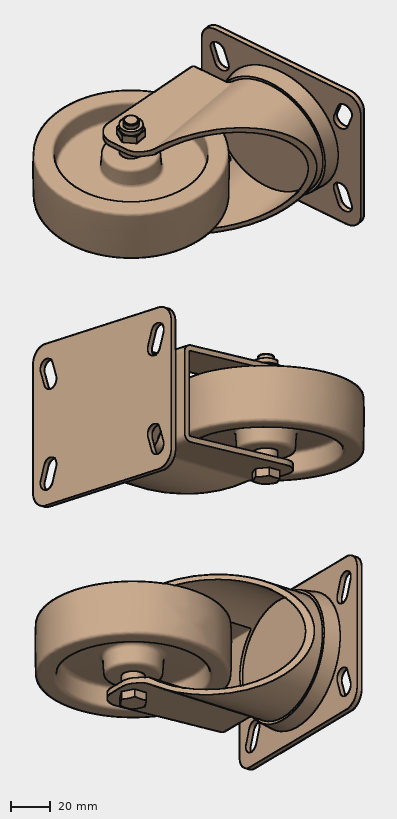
import cadquery as cq
import math


plate_length = 100.0
plate_height = 85.0
plate_thickness = 3.0
plate_corner_radius = 9.0
slot_width = 9.0
slot_inner_x = 37.5
slot_inner_z = 22.5
slot_outer_x = 40.0
slot_outer_z = 30.0

neck_diameter = 40.3
bearing_gap = 0.4
cone_depth = 8.9
cone_back_diameter = 72.5
cone_front_diameter = 69.6
cone_back_y = -(plate_thickness + bearing_gap)
cone_front_y = cone_back_y - cone_depth

axle_x = -37.0
axle_y = -78.0

sheet = 3.0
skirt_sheet = 2.9
fork_width = 50.9
fork_inner_width = fork_width - 2 * sheet
skirt_inner_diameter = 61.0
skirt_radius = skirt_inner_diameter / 2 + skirt_sheet
web_back_y = -13.9
bend_inner_radius = 0.8
bend_outer_radius = bend_inner_radius + sheet
blend_radius = 4.2
fork_back_edge_x = -45.2
fork_bottom_edge_x = -53.0
fork_bottom_y = -88.4
fork_bottom_right_x = -27.5
fork_reach_y = fork_bottom_y - sheet
skirt_short_side_y = -17.3
leg_corner_radius = 10.1

wheel_radius = 49.2
wheel_width = 30.0
tread_edge_radius = 48.7
rim_wall_top_radius = 38.5
rim_wall_base_radius = 37.7
web_thickness_at_hub = 8.0
web_thickness_at_rim = 6.3
hub_top_radius = 14.6
hub_base_radius = 15.4
wheel_fillet = 1.9

spacer_diameter = 12.0
nut_across_flats = 12.5
nut_height = 4.5
hex_bevel_height = 0.3
collar_diameter = 12.0
collar_height = 2.5
pin_diameter = 8.0
pin_height = 3.0
pin_chamfer = 0.5


def make_plate():
    """Plate with four slanted slots, mirrored about both centre lines."""
    plate = (
        cq.Workplane("XZ")
        .rect(plate_length, plate_height)
        .extrude(plate_thickness)
        .edges("|Y")
        .fillet(plate_corner_radius)
    )
    run_x = slot_outer_x - slot_inner_x
    run_z = slot_outer_z - slot_inner_z
    slot_length = math.hypot(run_x, run_z) + slot_width
    slot_angle = math.degrees(math.atan2(run_z, run_x))
    middle_x = (slot_inner_x + slot_outer_x) / 2
    middle_z = (slot_inner_z + slot_outer_z) / 2
    for side_x in (-1, 1):
        for side_z in (-1, 1):
            slot = (
                cq.Workplane("XZ")
                .center(side_x * middle_x, side_z * middle_z)
                .slot2D(slot_length, slot_width, side_x * side_z * slot_angle)
                .extrude(plate_thickness)
            )
            plate = plate.cut(slot)
    return plate


def swivel_cylinder(radius, back_y, front_y):
    return cq.Workplane("XZ", origin=(0, back_y, 0)).circle(radius).extrude(back_y - front_y)


def make_bearing():
    """Narrow neck under the plate, then a conical bearing cup."""
    neck = swivel_cylinder(neck_diameter / 2, -plate_thickness, cone_back_y)
    cone = (
        cq.Workplane("XZ", origin=(0, cone_back_y, 0))
        .circle(cone_back_diameter / 2)
        .workplane(offset=cone_depth)
        .circle(cone_front_diameter / 2)
        .loft()
    )
    return neck.union(cone)


def fork_channel(back_y, width, bend_radius):
    """Block from the fork's open side to the swivel axis, with its back corners rounded."""
    channel_open_x = fork_bottom_edge_x - sheet
    return (
        cq.Workplane("XY", origin=(0, 0, -width / 2))
        .moveTo(channel_open_x, fork_reach_y)
        .lineTo(0, fork_reach_y)
        .lineTo(0, back_y)
        .lineTo(channel_open_x, back_y)
        .close()
        .extrude(width)
        .edges("|X and >Y")
        .fillet(bend_radius)
    )


def make_fork():
    """Hollow channel and skirt, trimmed to the side outline with its slanted lower edge."""
    skirt_back_y = cone_front_y + cone_depth / 2
    outside = (
        fork_channel(web_back_y, fork_width, bend_outer_radius)
        .union(swivel_cylinder(skirt_radius, skirt_back_y, fork_reach_y))
    )
    margin = 0.1
    joint = cq.selectors.BoxSelector(
        (-skirt_radius - margin, fork_reach_y + margin, -fork_width),
        (-margin, skirt_back_y - margin, fork_width),
    )
    outside = outside.edges(joint).fillet(blend_radius)

    web_front_y = web_back_y - sheet
    inside = (
        fork_channel(web_front_y, fork_inner_width, bend_inner_radius)
        .union(swivel_cylinder(skirt_inner_diameter / 2, cone_front_y - sheet, fork_reach_y))
    )
    side_outline = (
        cq.Workplane("XY", origin=(0, 0, -skirt_radius))
        .moveTo(fork_back_edge_x, skirt_back_y)
        .lineTo(skirt_radius, skirt_back_y)
        .lineTo(skirt_radius, skirt_short_side_y)
        .lineTo(fork_bottom_right_x, fork_bottom_y)
        .lineTo(fork_bottom_edge_x, fork_bottom_y)
        .lineTo(fork_back_edge_x, web_back_y)
        .close()
        .extrude(2 * skirt_radius)
        .edges("|Z and <Y")
        .fillet(leg_corner_radius)
    )
    return outside.cut(inside).intersect(side_outline)


def make_wheel():
    """Crowned tread, recessed web and hub, revolved about the axle with every edge rounded."""
    half_width = wheel_width / 2
    hub_web_z = web_thickness_at_hub / 2
    rim_web_z = web_thickness_at_rim / 2
    profile = (
        cq.Workplane("XZ")
        .moveTo(0, -half_width)
        .lineTo(hub_top_radius, -half_width)
        .lineTo(hub_base_radius, -hub_web_z)
        .lineTo(rim_wall_base_radius, -rim_web_z)
        .lineTo(rim_wall_top_radius, -half_width)
        .lineTo(tread_edge_radius, -half_width)
        .threePointArc((wheel_radius, 0), (tread_edge_radius, half_width))
        .lineTo(rim_wall_top_radius, half_width)
        .lineTo(rim_wall_base_radius, rim_web_z)
        .lineTo(hub_base_radius, hub_web_z)
        .lineTo(hub_top_radius, half_width)
        .lineTo(0, half_width)
        .close()
    )
    wheel = profile.revolve(360, (0, 0, 0), (0, 1, 0))
    wheel = wheel.edges("%CIRCLE").fillet(wheel_fillet)
    return wheel.translate((axle_x, axle_y, 0))


def axle_plane(z):
    return cq.Workplane("XY", origin=(axle_x, axle_y, z))


def hex_block(z, height, outer_face):
    """Hexagon with two corners along Y, its corners bevelled at the outer face."""
    across_corners = nut_across_flats / math.cos(math.pi / 6)
    bevel_width = (across_corners - nut_across_flats) / 2
    envelope = (
        axle_plane(z)
        .circle(across_corners / 2)
        .extrude(height)
        .faces(outer_face)
        .edges()
        .chamfer(hex_bevel_height, bevel_width)
    )
    hexagon = (
        axle_plane(z)
        .transformed(rotate=(0, 0, 90))
        .polygon(6, across_corners)
        .extrude(height)
    )
    return hexagon.intersect(envelope)


def make_axle():
    """Spacer between the legs, bolt head below, and nut, collar and pin end above."""
    leg_z = fork_width / 2
    nut_top = leg_z + nut_height
    collar_top = nut_top + collar_height
    spacer = axle_plane(-leg_z).circle(spacer_diameter / 2).extrude(fork_width)
    head = hex_block(-leg_z - nut_height, nut_height, "<Z")
    nut = hex_block(leg_z, nut_height, ">Z")
    collar = axle_plane(nut_top).circle(collar_diameter / 2).extrude(collar_height)
    pin = (
        axle_plane(collar_top)
        .circle(pin_diameter / 2)
        .extrude(pin_height)
        .faces(">Z")
        .chamfer(pin_chamfer)
    )
    return spacer.union(head).union(nut).union(collar).union(pin)


result = make_plate().union(make_bearing()).union(make_fork()).union(make_wheel()).union(make_axle())